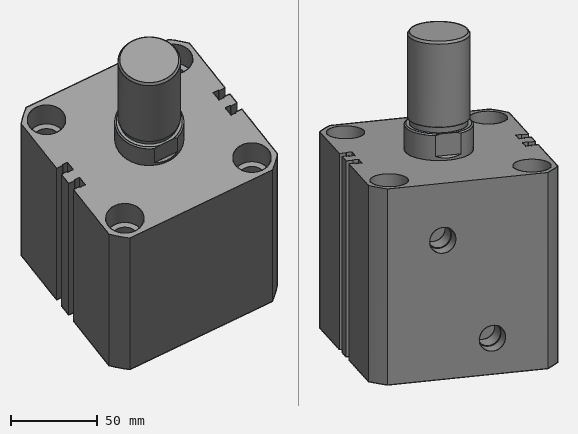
import cadquery as cq

SIDE = 114.0
HOUSING_HEIGHT = 120.0
CORNER_RADIUS = 74.7

HOLE_SPACING = 86.0
HOLE_DIAMETER = 15.0
COUNTERBORE_DIAMETER = 22.0
COUNTERBORE_DEPTH = 17.3

GROOVE_PITCH = 13.2
GROOVE_NECK_WIDTH = 5.2
GROOVE_NECK_DEPTH = 4.2
GROOVE_FOOT_WIDTH = 6.3
GROOVE_DEPTH = 7.7

PORT_OFFSET = 15.0
LOWER_PORT_HEIGHT = 22.0
UPPER_PORT_DROP = 35.0
PORT_MOUTH_DIAMETER = 15.7
PORT_TAPER = 1 / 16
PORT_MOUTH_DEPTH = 8.0
PORT_BORE_DIAMETER = 14.4
PORT_DEPTH = 19.2

OVERALL_HEIGHT = 192.0
COLLAR_DIAMETER = 40.0
COLLAR_HEIGHT = 16.0
COLLAR_CHAMFER_HEIGHT = 0.8
COLLAR_CHAMFER_WIDTH = 1.0
NECK_DIAMETER = 34.0
NECK_HEIGHT = 3.6
ROD_END_DIAMETER = 36.0
ROD_END_CHAMFER_HEIGHT = 1.5

FLAT_WIDTH = 36.9
FLAT_BASE_HEIGHT = 2.5
FLAT_RUNOUT_HEIGHT = 1.2

HALF_SIDE = SIDE / 2


def make_block():
    """Square block whose corners lie on one large cylinder."""
    block = cq.Workplane("XY").rect(SIDE, SIDE).extrude(HOUSING_HEIGHT)
    corner_cylinder = cq.Workplane("XY").circle(CORNER_RADIUS).extrude(HOUSING_HEIGHT)
    return block.intersect(corner_cylinder)


def cut_mounting_holes(body):
    return (
        body.faces(">Z").workplane(origin=(0, 0, HOUSING_HEIGHT))
        .rect(HOLE_SPACING, HOLE_SPACING, forConstruction=True).vertices()
        .cboreHole(HOLE_DIAMETER, COUNTERBORE_DIAMETER, COUNTERBORE_DEPTH)
    )


def make_groove(x, side):
    """Cutter for one T groove; side is -1 for the -Y face and +1 for the +Y face."""
    neck = (
        cq.Workplane("XY").center(x, side * (HALF_SIDE - GROOVE_DEPTH / 2))
        .rect(GROOVE_NECK_WIDTH, GROOVE_DEPTH).extrude(HOUSING_HEIGHT)
    )
    foot_length = GROOVE_DEPTH - GROOVE_NECK_DEPTH
    foot = (
        cq.Workplane("XY").center(x, side * (HALF_SIDE - GROOVE_DEPTH + foot_length / 2))
        .rect(GROOVE_FOOT_WIDTH, foot_length).extrude(HOUSING_HEIGHT)
    )
    return neck.union(foot)


def make_port(y, z):
    """Cutter for one tapered and stepped blind port entering from the -X face."""
    face = cq.Workplane("YZ", origin=(-HALF_SIDE, y, z))
    mouth_end_diameter = PORT_MOUTH_DIAMETER - PORT_TAPER * PORT_MOUTH_DEPTH
    mouth = (
        face.circle(PORT_MOUTH_DIAMETER / 2)
        .workplane(offset=PORT_MOUTH_DEPTH).circle(mouth_end_diameter / 2).loft()
    )
    bore = face.circle(PORT_BORE_DIAMETER / 2).extrude(PORT_DEPTH)
    return mouth.union(bore)


def make_housing():
    body = cut_mounting_holes(make_block())
    for side in (-1, 1):
        for x in (-GROOVE_PITCH / 2, GROOVE_PITCH / 2):
            body = body.cut(make_groove(x, side))
    body = body.cut(make_port(-PORT_OFFSET, LOWER_PORT_HEIGHT))
    body = body.cut(make_port(PORT_OFFSET, HOUSING_HEIGHT - UPPER_PORT_DROP))
    return body


def make_rod_blank():
    """Turned rod profile revolved about the Z axis."""
    collar_radius = COLLAR_DIAMETER / 2
    neck_radius = NECK_DIAMETER / 2
    end_radius = ROD_END_DIAMETER / 2
    collar_top = HOUSING_HEIGHT + COLLAR_HEIGHT
    neck_top = collar_top + NECK_HEIGHT
    profile = [
        (0, HOUSING_HEIGHT),
        (collar_radius, HOUSING_HEIGHT),
        (collar_radius, collar_top - COLLAR_CHAMFER_HEIGHT),
        (collar_radius - COLLAR_CHAMFER_WIDTH, collar_top),
        (neck_radius, collar_top),
        (neck_radius, neck_top),
        (end_radius, neck_top),
        (end_radius, OVERALL_HEIGHT - ROD_END_CHAMFER_HEIGHT),
        (neck_radius, OVERALL_HEIGHT),
        (0, OVERALL_HEIGHT),
    ]
    return cq.Workplane("XZ").polyline(profile).close().revolve(360, (0, 0), (0, 1))


def make_flat_cutter(side):
    """Cutter for one wrench flat; side is -1 for -X and +1 for +X."""
    flat_x = FLAT_WIDTH / 2
    outer_x = COLLAR_DIAMETER / 2
    base_z = HOUSING_HEIGHT + FLAT_BASE_HEIGHT
    top_z = HOUSING_HEIGHT + COLLAR_HEIGHT
    profile = [
        (side * flat_x, base_z),
        (side * outer_x, base_z - FLAT_RUNOUT_HEIGHT),
        (side * outer_x, top_z),
        (side * flat_x, top_z),
    ]
    return (
        cq.Workplane("XZ").polyline(profile).close()
        .extrude(COLLAR_DIAMETER / 2, both=True)
    )


def make_piston_rod():
    rod = make_rod_blank()
    for side in (-1, 1):
        rod = rod.cut(make_flat_cutter(side))
    return rod


housing = make_housing()
piston_rod = make_piston_rod()

result = cq.Compound.makeCompound([housing.val(), piston_rod.val()])